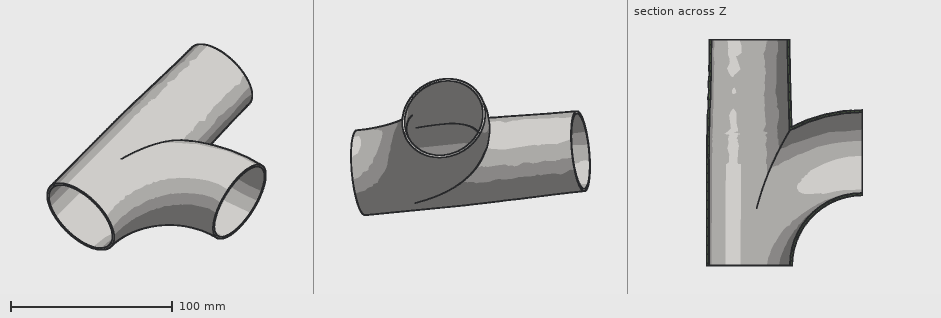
import cadquery as cq

run_length = 140.0
outer_diameter = 53.0
narrow_outer_diameter = 50.0
wall = 1.5
taper_start = 63.0
bend_radius = 70.0

region_length = 1.2 * run_length
region_width = bend_radius + 2 * outer_diameter
region_height = 2 * outer_diameter


def run_body(inset):
    """Straight run as a solid of revolution about Y, reduced radially by inset."""
    wide_radius = outer_diameter / 2 - inset
    narrow_radius = narrow_outer_diameter / 2 - inset
    return (
        cq.Workplane("XY")
        .lineTo(wide_radius, 0)
        .lineTo(wide_radius, taper_start)
        .spline([(narrow_radius, run_length)], tangents=[(0, 1), (0, 1)], includeCurrent=True)
        .lineTo(0, run_length)
        .close()
        .revolve(360, (0, 0, 0), (0, 1, 0))
    )


def elbow_body(inset):
    """Quarter-turn elbow from the near end of the run to the branch opening."""
    return (
        cq.Workplane("XZ")
        .circle(outer_diameter / 2 - inset)
        .revolve(90, (bend_radius, 1.4, 0), (bend_radius, 0, 0))
    )


def crease_point(t):
    """Point equally far from the run's axis and the elbow's centreline arc."""
    y = t * region_length
    return (y**2 / (4 * bend_radius), y)


def branch_region():
    """Space on the elbow's side of the parabola where equal pipes meet."""
    return (
        cq.Workplane("XY")
        .workplane(offset=-region_height / 2)
        .parametricCurve(crease_point, N=40, makeWire=False)
        .lineTo(region_width, region_length)
        .lineTo(region_width, 0)
        .close()
        .extrude(region_height)
    )


def joined_body(inset):
    """Run and elbow together; the elbow's part inside the run is trimmed off first.

    The two are tangent at the near end, so trimming avoids overlapping tangent surfaces.
    """
    return run_body(inset).union(elbow_body(inset).intersect(branch_region()))


result = joined_body(0).cut(joined_body(wall))